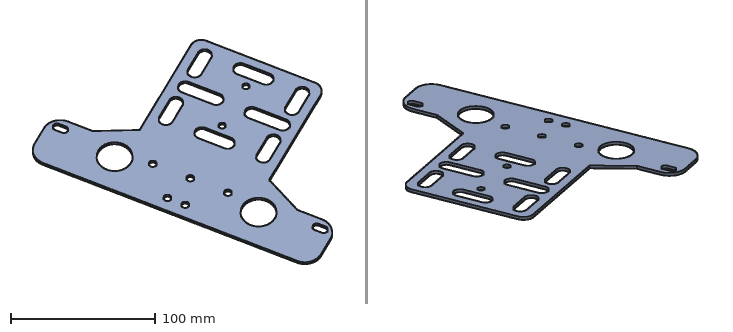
import cadquery as cq

width = 221
height = 145.0
thickness = 2.5

base_height = 40.0
base_corner_radius = 12.5
panel_width = 100.0
panel_corner_radius = 8.0
shoulder_height = 55.0
shoulder_foot_x = 79.0

slot_width = 10.2
side_slot_length = 26.0
side_slot_x = 37.5
side_slot_heights = (79.3, 125.3)
center_slot_length = 30.0
center_slot_heights = (71.4, 133.3)
middle_slot_length = 34.0
middle_slot_x = 25.6
middle_slot_y = 102.3

end_slot_length = 11.3
end_slot_width = 6.0
end_slot_x = 100.1

large_hole_diameter = 25.0
large_hole_x = 55.5
large_hole_y = 26.5
panel_hole_diameter = 5.0
panel_hole_heights = (83.3, 121.3)
base_hole_diameter = 5.5
base_hole_row_y = 32.5
base_hole_row_x = 29.0
lower_hole_x = 6.9
lower_hole_y = 10.2


def mirrored(x, y):
    """A pair of points placed symmetrically about X = 0."""
    return [(-x, y), (x, y)]


def make_plate():
    right_side = [
        (width / 2, 0),
        (width / 2, base_height),
        (shoulder_foot_x, base_height),
        (panel_width / 2, shoulder_height),
        (panel_width / 2, height),
    ]
    left_side = [(-x, y) for x, y in reversed(right_side)]
    plate = cq.Workplane("XY").polyline(right_side + left_side).close().extrude(thickness)
    plate = plate.edges("|Z and (<X or >X)").fillet(base_corner_radius)
    return plate.edges("|Z and >Y").fillet(panel_corner_radius)


def cut_slots(plate, points, length, slot_size, angle=0):
    slots = cq.Workplane("XY").pushPoints(points).slot2D(length, slot_size, angle).extrude(thickness)
    return plate.cut(slots)


def cut_holes(plate, points, diameter):
    holes = cq.Workplane("XY").pushPoints(points).circle(diameter / 2).extrude(thickness)
    return plate.cut(holes)


result = make_plate()

for slot_y in side_slot_heights:
    result = cut_slots(result, mirrored(side_slot_x, slot_y), side_slot_length, slot_width, 90)

center_slot_points = [(0, y) for y in center_slot_heights]
result = cut_slots(result, center_slot_points, center_slot_length, slot_width)
result = cut_slots(result, mirrored(middle_slot_x, middle_slot_y), middle_slot_length, slot_width)
result = cut_slots(result, mirrored(end_slot_x, base_hole_row_y), end_slot_length, end_slot_width)

result = cut_holes(result, mirrored(large_hole_x, large_hole_y), large_hole_diameter)
result = cut_holes(result, [(0, y) for y in panel_hole_heights], panel_hole_diameter)

base_hole_points = [(0, base_hole_row_y)]
base_hole_points += mirrored(base_hole_row_x, base_hole_row_y)
base_hole_points += mirrored(lower_hole_x, lower_hole_y)
result = cut_holes(result, base_hole_points, base_hole_diameter)